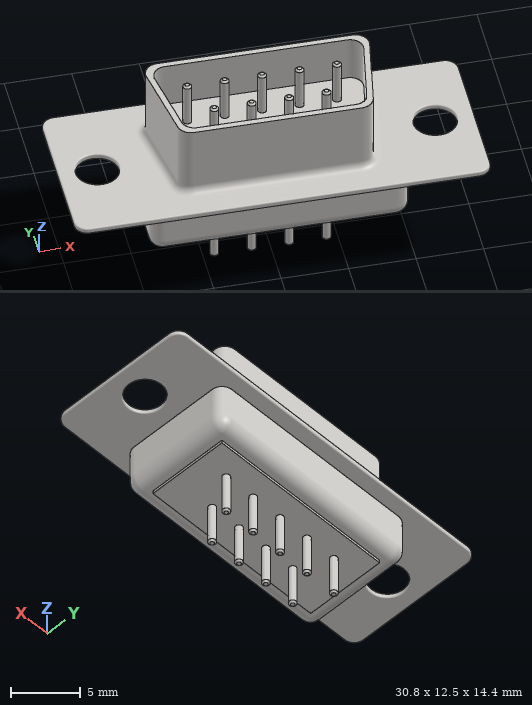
import cadquery as cq
import math

PLATE_LENGTH = 30.8
PLATE_WIDTH = 12.5
PLATE_THICKNESS = 0.45
PLATE_CORNER_RADIUS = 1.0
PLATE_EDGE_RADIUS = 0.12
MOUNT_HOLE_DIAMETER = 3.2
MOUNT_HOLE_SPACING = 25.0

SHROUD_HEIGHT = 5.8
SHROUD_WIDTH = 7.92
SHROUD_MEAN_LENGTH = 15.6
SHROUD_SIDE_ANGLE = 10.0
SHROUD_CORNER_RADIUS = 1.05
SHROUD_ROOT_RADIUS = 0.62
ROOT_SEARCH_MARGIN = 0.03
SHROUD_WALL = 0.45
CAVITY_CORNER_RADIUS = 1.0
CAVITY_DEPTH = 3.65

HOUSING_LENGTH = 19.2
HOUSING_WIDTH = 9.92
HOUSING_HEIGHT = 4.0
HOUSING_CORNER_RADIUS = 1.02
HOUSING_BOTTOM_RADIUS = 1.0

PAD_LENGTH = 16.25
PAD_WIDTH = 7.0
PAD_HEIGHT = 0.28

PIN_DIAMETER = 0.65
PIN_TIP_CHAMFER = 0.15
PIN_PITCH = 2.77
PIN_ROW_SPACING = 2.8
PIN_COUNTS = {1: 5, -1: 4}
PIN_TOP = 5.65
PIN_TAIL_LENGTH = 3.88

HOUSING_TOP = -PLATE_THICKNESS
HOUSING_BOTTOM = HOUSING_TOP - HOUSING_HEIGHT
PAD_BOTTOM = HOUSING_BOTTOM - PAD_HEIGHT
PIN_BOTTOM = PAD_BOTTOM - PIN_TAIL_LENGTH


def d_prism(inset, corner_radius, bottom, height):
    """Upright D-shaped prism, wider on the +Y side, inset evenly from the shroud outline."""
    side_angle = math.radians(SHROUD_SIDE_ANGLE)
    half_width = SHROUD_WIDTH / 2 - inset
    half_mean = SHROUD_MEAN_LENGTH / 2 - inset / math.cos(side_angle)
    taper = half_width * math.tan(side_angle)
    corners = [
        (-half_mean - taper, half_width),
        (-half_mean + taper, -half_width),
        (half_mean - taper, -half_width),
        (half_mean + taper, half_width),
    ]
    prism = cq.Workplane("XY", origin=(0, 0, bottom)).polyline(corners).close().extrude(height)
    return prism.edges("|Z").fillet(corner_radius)


def flange_plate():
    plate = cq.Workplane("XY").rect(PLATE_LENGTH, PLATE_WIDTH).extrude(-PLATE_THICKNESS)
    plate = plate.edges("|Z").fillet(PLATE_CORNER_RADIUS)
    hole_centers = [(-MOUNT_HOLE_SPACING / 2, 0), (MOUNT_HOLE_SPACING / 2, 0)]
    plate = plate.faces(">Z").workplane().pushPoints(hole_centers).hole(MOUNT_HOLE_DIAMETER)
    return plate.faces("|Z").edges().fillet(PLATE_EDGE_RADIUS)


def add_shroud(plate):
    """Join the shroud to the plate, with a rounded root where its walls meet the plate."""
    shroud = d_prism(0, SHROUD_CORNER_RADIUS, HOUSING_TOP, SHROUD_HEIGHT - HOUSING_TOP)
    half_length = MOUNT_HOLE_SPACING / 2 - MOUNT_HOLE_DIAMETER
    half_width = SHROUD_WIDTH / 2 + ROOT_SEARCH_MARGIN
    root_edges = cq.selectors.BoxSelector(
        (-half_length, -half_width, -ROOT_SEARCH_MARGIN),
        (half_length, half_width, ROOT_SEARCH_MARGIN),
    )
    return plate.union(shroud).edges(root_edges).fillet(SHROUD_ROOT_RADIUS)


def rear_housing():
    housing = cq.Workplane("XY", origin=(0, 0, HOUSING_TOP))
    housing = housing.rect(HOUSING_LENGTH, HOUSING_WIDTH).extrude(-HOUSING_HEIGHT)
    housing = housing.edges("|Z").fillet(HOUSING_CORNER_RADIUS)
    return housing.faces("<Z").edges().fillet(HOUSING_BOTTOM_RADIUS)


def insulator_pad():
    pad = cq.Workplane("XY", origin=(0, 0, HOUSING_BOTTOM))
    return pad.rect(PAD_LENGTH, PAD_WIDTH).extrude(-PAD_HEIGHT)


def contact_pins():
    centers = []
    for side, count in PIN_COUNTS.items():
        for index in range(count):
            centers.append(((index - (count - 1) / 2) * PIN_PITCH, side * PIN_ROW_SPACING / 2))
    pins = cq.Workplane("XY", origin=(0, 0, PIN_BOTTOM)).pushPoints(centers)
    pins = pins.circle(PIN_DIAMETER / 2).extrude(PIN_TOP - PIN_BOTTOM)
    return pins.faces("|Z").edges().chamfer(PIN_TIP_CHAMFER)


cavity = d_prism(SHROUD_WALL, CAVITY_CORNER_RADIUS, SHROUD_HEIGHT - CAVITY_DEPTH, CAVITY_DEPTH)
connector = add_shroud(flange_plate()).union(rear_housing()).union(insulator_pad())
result = connector.cut(cavity).union(contact_pins())